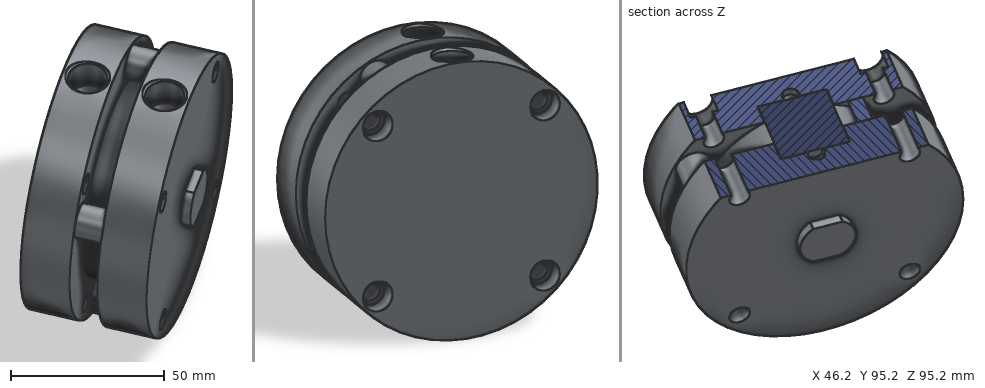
import cadquery as cq
import math

PLATE_RADIUS = 47.6
PLATE_THICKNESS = 16.8
GAP = 9.4

CORE_RADIUS = 33.5
RECESS_DEPTH = 7.05

PITCH_RADIUS = 41.3
BOLT_ANGLE = 45.0
BOLT_RADIUS = 3.5
COUNTERBORE_RADIUS = 5.1
COUNTERBORE_DEPTH = 6.9
SPACER_RADIUS = 5.8
SPACER_ANGLE = 62.0
PATTERN_COUNT = 4

PORT_MOUTH_RADIUS = 7.3
PORT_TOP_RADIUS = 6.4
PORT_BOTTOM_RADIUS = 6.1
PORT_DEPTH = 11.4
PASSAGE_RADIUS = 2.8
PASSAGE_DEPTH = 19.05
DRILL_POINT_ANGLE = 118.0

BUTTON_RADIUS = 9.5
BUTTON_HEIGHT = 3.2
BUTTON_ACROSS_FLATS = 16.2

GAP_START = PLATE_THICKNESS
GAP_END = GAP_START + GAP
RIGHT_FACE = GAP_END + PLATE_THICKNESS
CORE_START = GAP_START - RECESS_DEPTH
CORE_END = GAP_END + RECESS_DEPTH


def on_plane(x):
    """Workplane at station x, facing +X."""
    return cq.Workplane("YZ", origin=(x, 0, 0))


def disc(radius, start, end):
    """Cylinder on the X axis between two stations."""
    return on_plane(start).circle(radius).extrude(end - start)


def pitch_cylinders(radius, angle, start, end):
    """Cylinders along X, equally spaced on the pitch circle."""
    return (
        on_plane(start)
        .polarArray(PITCH_RADIUS, angle, 360, PATTERN_COUNT)
        .circle(radius)
        .extrude(end - start)
    )


def drill_drop(radius_change):
    """Axial length of a drill point over a change of radius."""
    return radius_change / math.tan(math.radians(DRILL_POINT_ANGLE / 2))


def port_cutter(x):
    """Chamfered tapered port with a drilled passage below it, on a vertical axis at x."""
    mouth_z = PLATE_RADIUS
    taper_top_z = mouth_z - (PORT_MOUTH_RADIUS - PORT_TOP_RADIUS)
    taper_bottom_z = mouth_z - PORT_DEPTH
    passage_top_z = taper_bottom_z - drill_drop(PORT_BOTTOM_RADIUS - PASSAGE_RADIUS)
    passage_bottom_z = mouth_z - PASSAGE_DEPTH
    tip_z = passage_bottom_z - drill_drop(PASSAGE_RADIUS)
    return (
        cq.Workplane("XZ", origin=(x, 0, 0))
        .moveTo(0, mouth_z)
        .lineTo(PORT_MOUTH_RADIUS, mouth_z)
        .lineTo(PORT_TOP_RADIUS, taper_top_z)
        .lineTo(PORT_BOTTOM_RADIUS, taper_bottom_z)
        .lineTo(PASSAGE_RADIUS, passage_top_z)
        .lineTo(PASSAGE_RADIUS, passage_bottom_z)
        .lineTo(0, tip_z)
        .close()
        .revolve(360, (0, 0, 0), (0, 1, 0))
    )


def make_plate(start):
    """Plate with its bolt holes, its port and the recess for the core."""
    end = start + PLATE_THICKNESS
    plate = disc(PLATE_RADIUS, start, end)
    plate = plate.cut(pitch_cylinders(BOLT_RADIUS, BOLT_ANGLE, start, end))
    plate = plate.cut(port_cutter((start + end) / 2))
    return plate.cut(disc(CORE_RADIUS, CORE_START, CORE_END))


def make_left_plate():
    """Plate whose bolt holes are counterbored from the outer face."""
    counterbores = pitch_cylinders(COUNTERBORE_RADIUS, BOLT_ANGLE, 0, COUNTERBORE_DEPTH)
    return make_plate(0).cut(counterbores)


def make_button():
    """Round button with flats facing up and down."""
    flats = on_plane(RIGHT_FACE).rect(2 * BUTTON_RADIUS, BUTTON_ACROSS_FLATS).extrude(BUTTON_HEIGHT)
    return disc(BUTTON_RADIUS, RIGHT_FACE, RIGHT_FACE + BUTTON_HEIGHT).intersect(flats)


left_plate = make_left_plate()
right_plate = make_plate(GAP_END)
core = disc(CORE_RADIUS, CORE_START, CORE_END)
spacers = pitch_cylinders(SPACER_RADIUS, SPACER_ANGLE, GAP_START, GAP_END)
button = make_button()

result = cq.Compound.makeCompound(
    [left_plate.val(), right_plate.val(), core.val(), *spacers.vals(), button.val()]
)